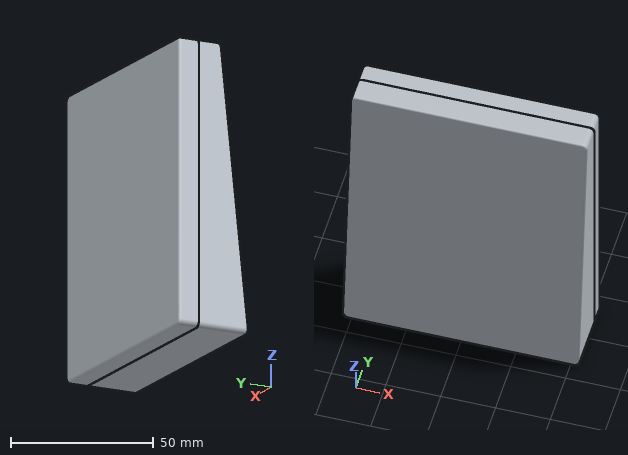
import cadquery as cq
import math

WIDTH = 86.5
HEIGHT = 105.5
DEPTH = 27.6

BACK_DEPTH = 7.7
SLOPE_DEGREES = 6.0
CORNER_RADIUS = 2.0
BACK_RIM_RADIUS = 1.0
FRONT_RIM_RADIUS = 0.75

slope = math.radians(SLOPE_DEGREES)
arc_center_to_corner = FRONT_RIM_RADIUS * (1 + math.sin(slope)) / math.cos(slope)
bottom_depth = DEPTH - FRONT_RIM_RADIUS + arc_center_to_corner
top_depth = bottom_depth - HEIGHT * math.tan(slope)


def extrude_side_profile(points):
    """Extrude a (Y, Z) outline across the width, centred in X."""
    return cq.Workplane("YZ").polyline(points).close().extrude(WIDTH / 2, both=True)


def make_back_cover():
    """Flat cover with rounded corners and a rounded rim at the back."""
    cover = extrude_side_profile([(0, 0), (0, HEIGHT), (-BACK_DEPTH, HEIGHT), (-BACK_DEPTH, 0)])
    cover = cover.edges("|Y").fillet(CORNER_RADIUS)
    return cover.faces(">Y").edges().fillet(BACK_RIM_RADIUS)


def make_front_housing():
    """Wedge that is deepest at the base, with a rounded rim around its sloping front."""
    housing = extrude_side_profile([
        (-BACK_DEPTH, 0),
        (-BACK_DEPTH, HEIGHT),
        (-top_depth, HEIGHT),
        (-bottom_depth, 0),
    ])
    housing = housing.edges("|Y").fillet(CORNER_RADIUS)
    return housing.faces("<Y").edges().fillet(FRONT_RIM_RADIUS)


back_cover = make_back_cover()
front_housing = make_front_housing()

result = cq.Compound.makeCompound([back_cover.val(), front_housing.val()])